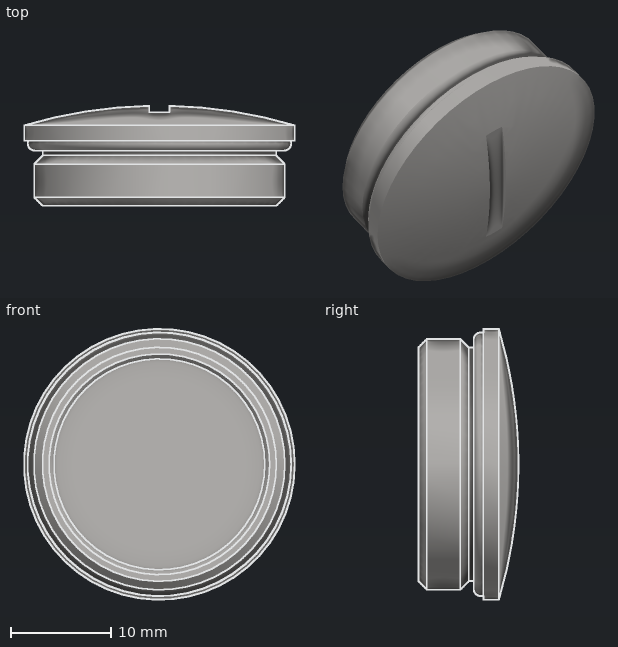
import cadquery as cq

TOTAL_HEIGHT = 10.0
FLANGE_TOP = 8.02
FLANGE_BOTTOM = 6.48
SEAL_MIDDLE = 6.25
NECK_BOTTOM = 5.02
BODY_CHAMFER = 0.85

FLANGE_RADIUS = 27.0 / 2
BODY_RADIUS = 25.0 / 2
NECK_RADIUS = BODY_RADIUS - BODY_CHAMFER
SEAL_RADIUS = 13.15
RECESS_RADIUS = 11.0

RECESS_DEPTH = 0.49

SLOT_WIDTH = 2.0
SLOT_DEPTH = 0.65


def revolved_plug():
    """Half section (radius, height) revolved about the plug axis."""
    ring_section_radius = (SEAL_RADIUS - NECK_RADIUS) / 2
    ring_center_radius = NECK_RADIUS + ring_section_radius
    ring_bottom = SEAL_MIDDLE - ring_section_radius
    flange_offset = FLANGE_BOTTOM - SEAL_MIDDLE
    ring_top_radius = ring_center_radius + (ring_section_radius**2 - flange_offset**2) ** 0.5

    dome_height = TOTAL_HEIGHT - FLANGE_TOP
    sphere_radius = (FLANGE_RADIUS**2 + dome_height**2) / (2 * dome_height)
    sphere_center = TOTAL_HEIGHT - sphere_radius
    dome_mid_radius = FLANGE_RADIUS / 2
    dome_mid_height = sphere_center + (sphere_radius**2 - dome_mid_radius**2) ** 0.5

    section = (
        cq.Workplane("XY")
        .moveTo(0, RECESS_DEPTH)
        .lineTo(RECESS_RADIUS - RECESS_DEPTH, RECESS_DEPTH)
        .lineTo(RECESS_RADIUS, 0)
        .lineTo(BODY_RADIUS - BODY_CHAMFER, 0)
        .lineTo(BODY_RADIUS, BODY_CHAMFER)
        .lineTo(BODY_RADIUS, NECK_BOTTOM - BODY_CHAMFER)
        .lineTo(NECK_RADIUS, NECK_BOTTOM)
        .lineTo(NECK_RADIUS, SEAL_MIDDLE)
        .threePointArc((ring_center_radius, ring_bottom), (ring_top_radius, FLANGE_BOTTOM))
        .lineTo(FLANGE_RADIUS, FLANGE_BOTTOM)
        .lineTo(FLANGE_RADIUS, FLANGE_TOP)
        .threePointArc((dome_mid_radius, dome_mid_height), (0, TOTAL_HEIGHT))
        .close()
    )
    return section.revolve(360, (0, 0), (0, 1))


def screwdriver_slot():
    """Straight slot running the full way across the dome along Z."""
    slot = cq.Workplane("XY").box(SLOT_WIDTH, SLOT_DEPTH, 2 * FLANGE_RADIUS)
    return slot.translate((0, TOTAL_HEIGHT - SLOT_DEPTH / 2, 0))


result = revolved_plug().cut(screwdriver_slot())